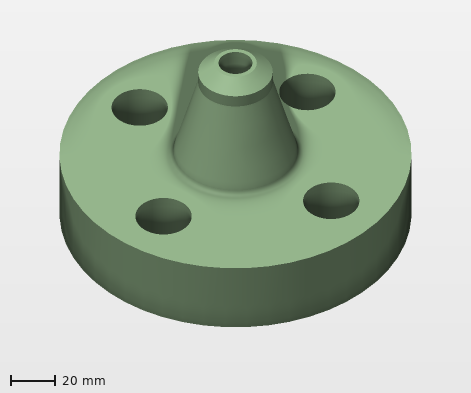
import cadquery as cq

disc_diameter = 158.7
disc_thickness = 34.9
raised_face_diameter = 51.1
raised_face_height = 6.3
overall_height = 95.2

hub_base_diameter = 57.5
hub_fillet_radius = 3.2
neck_diameter = 33.6
neck_length = 6.0
weld_bevel_height = 5.4
weld_land_diameter = 19.2

bore_diameter = 15.2
bolt_hole_diameter = 25.4
bolt_circle_diameter = 108.0
bolt_count = 4

disc_top = raised_face_height + disc_thickness
bevel_start = overall_height - weld_bevel_height
neck_start = bevel_start - neck_length


def flange_body():
    """Solid of revolution: raised face, disc, tapered hub, straight neck and weld bevel."""
    outline = [
        (0, 0),
        (raised_face_diameter / 2, 0),
        (raised_face_diameter / 2, raised_face_height),
        (disc_diameter / 2, raised_face_height),
        (disc_diameter / 2, disc_top),
        (hub_base_diameter / 2, disc_top),
        (neck_diameter / 2, neck_start),
        (neck_diameter / 2, bevel_start),
        (weld_land_diameter / 2, overall_height),
        (0, overall_height),
    ]
    return cq.Workplane("XZ").polyline(outline).close().revolve(360, (0, 0), (0, 1))


def round_hub_root(body):
    """Fillet the circle where the tapered hub meets the top of the disc."""
    margin = hub_fillet_radius / 2
    half_width = hub_base_diameter / 2 + margin
    root_region = cq.selectors.BoxSelector(
        (-half_width, -half_width, disc_top - margin),
        (half_width, half_width, disc_top + margin),
        boundingbox=True,
    )
    return body.edges(root_region).fillet(hub_fillet_radius)


def bore():
    """Straight bore through the full height."""
    return cq.Workplane("XY").circle(bore_diameter / 2).extrude(overall_height)


def bolt_holes():
    """Evenly spaced bolt holes through the disc, the first on the +X axis."""
    return (
        cq.Workplane("XY")
        .workplane(offset=raised_face_height)
        .polarArray(bolt_circle_diameter / 2, 0, 360, bolt_count)
        .circle(bolt_hole_diameter / 2)
        .extrude(disc_thickness)
    )


result = round_hub_root(flange_body()).cut(bore()).cut(bolt_holes())